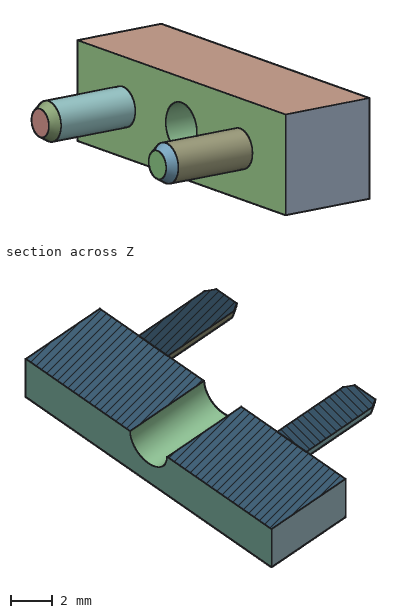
import cadquery as cq

block_length = 16.7
block_side = 5.0
bore_diameter = 2.5

pin_diameter = 2.0
pin_length = 4.91
pin_spacing = 9.4
tip_length = 0.5
tip_inset = 0.3

front_face_y = -block_side / 2


def make_block():
    """Square bar with a round bore through its middle along Y."""
    bar = cq.Workplane("XY").box(block_length, block_side, block_side)
    return bar.faces("<Y").workplane().hole(bore_diameter)


def make_pin(x):
    """Round pin pointing along -Y, with a tapered free end."""
    pin_radius = pin_diameter / 2
    tip_radius = pin_radius - tip_inset
    half_profile = (
        cq.Workplane("XY")
        .moveTo(0, 0)
        .lineTo(pin_radius, 0)
        .lineTo(pin_radius, tip_length - pin_length)
        .lineTo(tip_radius, -pin_length)
        .lineTo(0, -pin_length)
        .close()
    )
    pin = half_profile.revolve(360, (0, 0, 0), (0, 1, 0))
    return pin.translate((x, front_face_y, 0))


block = make_block()
pins = [make_pin(side * pin_spacing / 2) for side in (-1, 1)]

result = cq.Compound.makeCompound([block.val(), *[pin.val() for pin in pins]])